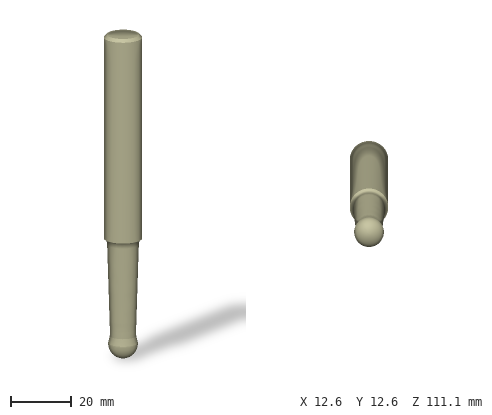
import cadquery as cq
import math

total_length = 111.1

shank_radius = 6.3
top_chamfer = 1.0
shank_bottom_z = 41.1
neck_top_radius = 5.2
neck_top_z = 39.1

stem_radius = 4.3
stem_top_z = 10.0
stem_bottom_z = 7.7
ball_radius = 4.9
band_height = 0.3

joint_z = 13.0
neck_slope = (neck_top_radius - stem_radius) / (neck_top_z - stem_top_z)
joint_radius = stem_radius + neck_slope * (joint_z - stem_top_z)

profile_plane = cq.Plane(origin=(0, 0, 0), xDir=(0, -1, 0), normal=(-1, 0, 0))


def turn(profile):
    """Revolve a closed half-profile fully about the Z axis."""
    return profile.revolve(360, (0, 0, 0), (0, 1, 0))


def make_shank():
    """Tapered neck, concave fillet tangent to it, and chamfered cylinder."""
    profile = (
        cq.Workplane(profile_plane)
        .moveTo(0, joint_z)
        .lineTo(joint_radius, joint_z)
        .lineTo(neck_top_radius, neck_top_z)
        .tangentArcPoint((shank_radius, shank_bottom_z), relative=False)
        .lineTo(shank_radius, total_length - top_chamfer)
        .lineTo(shank_radius - top_chamfer, total_length)
        .lineTo(0, total_length)
        .close()
    )
    return turn(profile)


def make_ball_tip():
    """Hemispherical end, narrow band, conical flare, stem and tapered top."""
    diagonal = math.sqrt(0.5)
    ball_middle = (ball_radius * diagonal, ball_radius * (1 - diagonal))
    profile = (
        cq.Workplane(profile_plane)
        .moveTo(0, 0)
        .threePointArc(ball_middle, (ball_radius, ball_radius))
        .lineTo(ball_radius, ball_radius + band_height)
        .lineTo(stem_radius, stem_bottom_z)
        .lineTo(stem_radius, stem_top_z)
        .lineTo(joint_radius, joint_z)
        .lineTo(0, joint_z)
        .close()
    )
    return turn(profile)


shank = make_shank()
ball_tip = make_ball_tip()

result = cq.Compound.makeCompound([shank.val(), ball_tip.val()])